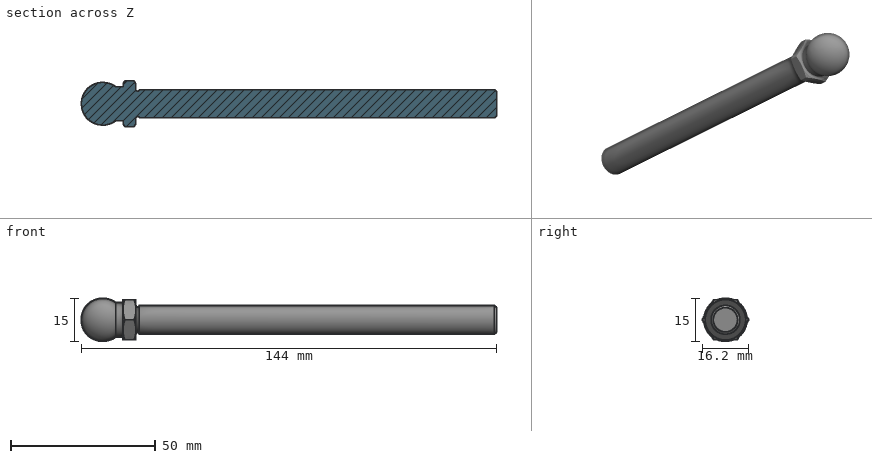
import cadquery as cq
import math

overall_length = 144.0
ball_diameter = 15.0
neck_diameter = 12.0
shank_diameter = 10.0

hex_across_flats = 14.0
hex_across_corners = hex_across_flats / math.cos(math.radians(30))
hex_width = 4.5
hex_chamfer_angle = 30.0

undercut_length = 1.1
tip_diameter = 8.4
tip_chamfer_length = 0.8

ball_radius = ball_diameter / 2
neck_radius = neck_diameter / 2
shank_radius = shank_diameter / 2
undercut_radius = shank_radius - undercut_length / 2
tip_radius = tip_diameter / 2

neck_start = math.sqrt(ball_radius**2 - neck_radius**2)
hex_start = 7.0
hex_end = hex_start + hex_width
undercut_end = hex_end + undercut_length
shank_end = overall_length - ball_radius


def revolve_about_x(profile):
    return profile.close().revolve(360, (0, 0, 0), (1, 0, 0))


def make_turned_body():
    """Ball, neck, half-round undercut, and shank with a chamfered tip."""
    undercut_middle = (hex_end + undercut_end) / 2
    profile = (
        cq.Workplane("XY")
        .moveTo(-ball_radius, 0)
        .threePointArc((0, ball_radius), (neck_start, neck_radius))
        .lineTo(hex_end, neck_radius)
        .lineTo(hex_end, shank_radius)
        .threePointArc((undercut_middle, undercut_radius), (undercut_end, shank_radius))
        .lineTo(shank_end - tip_chamfer_length, shank_radius)
        .lineTo(shank_end, tip_radius)
        .lineTo(shank_end, 0)
    )
    return revolve_about_x(profile)


def make_hex_collar():
    """Hexagon with corners on +Y and -Y, both end faces chamfered to a circle touching the flats."""
    prism = (
        cq.Workplane("YZ")
        .workplane(offset=hex_start)
        .polygon(6, hex_across_corners)
        .extrude(hex_width)
    )
    face_radius = hex_across_flats / 2
    corner_radius = hex_across_corners / 2
    chamfer_depth = (corner_radius - face_radius) * math.tan(math.radians(hex_chamfer_angle))
    envelope_profile = (
        cq.Workplane("XY")
        .moveTo(hex_start, 0)
        .lineTo(hex_start, face_radius)
        .lineTo(hex_start + chamfer_depth, corner_radius)
        .lineTo(hex_end - chamfer_depth, corner_radius)
        .lineTo(hex_end, face_radius)
        .lineTo(hex_end, 0)
    )
    return prism.intersect(revolve_about_x(envelope_profile))


result = make_turned_body().union(make_hex_collar())